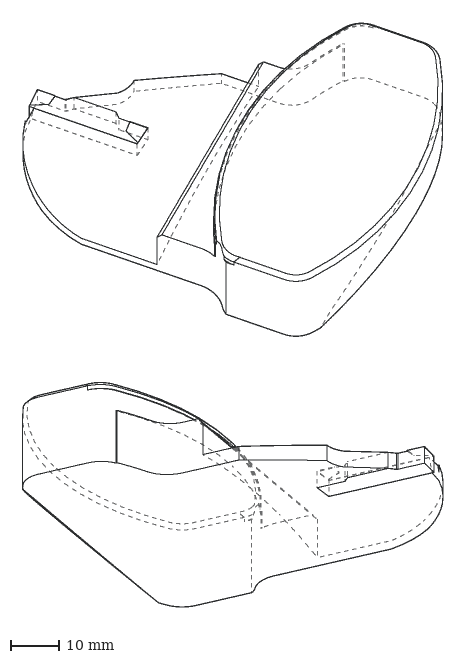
import cadquery as cq
import math

length = 85.95
height = 18.65
head_half_width = 35.0

head_front_x = 45.9
head_side_radius = 60.9
head_corner_radius = 6.0
head_top_chamfer = 0.95
back_bevel = 8.1
lip_height = 1.9
lip_inset = 0.3
lip_end_x = 60.3
relief_end_x = 58.6

block_front_x = 40.7
block_top = 12.0
block_chamfer_run = 1.1
block_chamfer_drop = 1.4
block_left_y = 21.0
block_right_y = -30.1
left_fillet_radius = 6.0
flank_ledge = 0.3
flank_end_y = 32.2
right_fillet_start_x = 50.7
right_fillet_end = (56.7, -33.0)
right_fillet_middle = (54.1, -30.85)
right_round_middle = (57.5, -34.0)

blade_crown = 5.1
blade_top_radius = 146.1
hollow_height = 1.4
hollow_radius = 230.35
blade_tip_x = 0.7
tip_slope_run = 0.7
tip_slope_end_y = -8.25
tip_corner_x = 1.0
slant_start_x = 32.3
slant_end = (17.0, 11.1)
notch_middle = (16.7, 8.6)
notch_end = (15.4, 6.4)
insert_meeting_x = 7.7
nose_arc_middle = (8.0, -21.2)
nose_arc_end_x = 23.55

insert_back_y = 0.2
insert_front_y = -4.55
insert_length = 25.0
insert_taper = 0.3
key_height = 1.3
key_base_half = 6.0
key_top_half = 4.7
pad_length = 4.0
pad_side_y = -2.4
pad_end_y = -4.2
pad_rise = 0.2

head_center_x = (head_front_x + length) / 2
side_center_offset = head_side_radius - (length - head_front_x) / 2


def side_offset(y):
    """Distance from the head's centre plane to its bowed side at a given Y."""
    return math.sqrt(head_side_radius**2 - y**2) - side_center_offset


def head_prism(prism_height):
    end = side_offset(head_half_width)
    return (
        cq.Workplane("XY")
        .moveTo(head_center_x - end, -head_half_width)
        .lineTo(head_center_x + end, -head_half_width)
        .threePointArc((length, 0), (head_center_x + end, head_half_width))
        .lineTo(head_center_x - end, head_half_width)
        .threePointArc((head_front_x, 0), (head_center_x - end, -head_half_width))
        .close()
        .extrude(prism_height)
        .edges("|Z")
        .fillet(head_corner_radius)
    )


def make_head():
    lower = head_prism(height - lip_height)
    rim = head_prism(height)
    front_half = cq.Workplane("XY").box(lip_end_x, length, height, centered=(False, True, False))
    rim_front = rim.intersect(front_half).translate((lip_inset, 0, 0))
    rim_back = rim.cut(front_half)
    rim = rim.intersect(rim_front.union(rim_back)).faces(">Z").chamfer(head_top_chamfer)
    head = lower.union(rim)
    bevel = (
        cq.Workplane("XZ")
        .moveTo(length - back_bevel, 0)
        .lineTo(length, 0)
        .lineTo(length, back_bevel)
        .close()
        .extrude(head_half_width, both=True)
    )
    return head.cut(bevel)


def make_block():
    """Step block with its rounded blend into the +Y side of the head."""
    fillet_center_y = block_left_y + left_fillet_radius
    flank_radius = head_side_radius + flank_ledge
    reach = flank_radius + left_fillet_radius
    bow_center_x = head_center_x + side_center_offset
    fillet_center_x = bow_center_x - math.sqrt(reach**2 - fillet_center_y**2)
    touch_x = bow_center_x + (fillet_center_x - bow_center_x) * flank_radius / reach
    touch_y = fillet_center_y * flank_radius / reach
    touch_angle = math.atan2(touch_y - fillet_center_y, touch_x - fillet_center_x)
    angle = (touch_angle - math.pi / 2) / 2
    middle = (
        fillet_center_x + left_fillet_radius * math.cos(angle),
        fillet_center_y + left_fillet_radius * math.sin(angle),
    )
    flank_middle_y = (touch_y + flank_end_y) / 2
    flank_middle_x = bow_center_x - math.sqrt(flank_radius**2 - flank_middle_y**2)
    flank_end_x = bow_center_x - math.sqrt(flank_radius**2 - flank_end_y**2)
    return (
        cq.Workplane("XY")
        .moveTo(block_front_x, block_right_y)
        .lineTo(block_front_x, block_left_y)
        .lineTo(fillet_center_x, block_left_y)
        .threePointArc(middle, (touch_x, touch_y))
        .threePointArc((flank_middle_x, flank_middle_y), (flank_end_x, flank_end_y))
        .lineTo(head_center_x, flank_end_y)
        .lineTo(head_center_x, -head_half_width)
        .lineTo(right_fillet_start_x, -head_half_width)
        .lineTo(right_fillet_start_x, block_right_y)
        .close()
        .extrude(block_top)
        .cut(
            cq.Workplane("XZ")
            .moveTo(block_front_x, block_top - block_chamfer_drop)
            .lineTo(block_front_x, block_top)
            .lineTo(block_front_x + block_chamfer_run, block_top)
            .close()
            .extrude(length, both=True)
        )
    )


def make_corner_post():
    """Squares off the head's front -Y corner below the rim, ready for the relief."""
    post_x, post_y = right_fillet_middle
    return (
        cq.Workplane("XY", origin=(post_x, -head_half_width, 0))
        .box(
            head_center_x - post_x,
            head_half_width + post_y,
            height - lip_height,
            centered=False,
        )
    )


def corner_relief():
    """Hollow then rounded sweep from the block's -Y side into the head's end."""
    return (
        cq.Workplane("XY")
        .moveTo(right_fillet_start_x, block_right_y)
        .threePointArc(right_fillet_middle, right_fillet_end)
        .threePointArc(right_round_middle, (relief_end_x, -head_half_width))
        .lineTo(right_fillet_start_x, -head_half_width)
        .close()
        .extrude(height)
    )


def crown_cylinder(radius, top):
    return cq.Workplane("YZ").center(0, top - radius).circle(radius).extrude(length)


def make_blade():
    blade = (
        cq.Workplane("XY")
        .moveTo(block_front_x, block_right_y)
        .lineTo(block_front_x, block_left_y)
        .lineTo(slant_start_x, block_left_y)
        .lineTo(*slant_end)
        .threePointArc(notch_middle, notch_end)
        .lineTo(insert_meeting_x, insert_back_y + key_height)
        .lineTo(blade_tip_x, insert_front_y)
        .lineTo(tip_corner_x, tip_slope_end_y)
        .threePointArc(nose_arc_middle, (nose_arc_end_x, block_right_y))
        .close()
        .extrude(blade_crown)
        .intersect(crown_cylinder(blade_top_radius, blade_crown))
    )
    lean = (
        cq.Workplane("XZ", origin=(0, insert_front_y, 0))
        .moveTo(blade_tip_x, hollow_height)
        .lineTo(blade_tip_x + tip_slope_run, blade_crown)
        .lineTo(0, blade_crown)
        .lineTo(0, hollow_height)
        .close()
        .extrude(insert_front_y - tip_slope_end_y)
    )
    return blade.cut(lean)


def insert_blank():
    key_center_x = insert_length / 2
    return (
        cq.Workplane("XY", origin=(0, 0, hollow_height))
        .moveTo(insert_taper, insert_front_y)
        .lineTo(0, insert_back_y)
        .lineTo(key_center_x - key_base_half, insert_back_y)
        .lineTo(key_center_x - key_top_half, insert_back_y + key_height)
        .lineTo(key_center_x + key_top_half, insert_back_y + key_height)
        .lineTo(key_center_x + key_base_half, insert_back_y)
        .lineTo(insert_length, insert_back_y)
        .lineTo(insert_length - insert_taper, insert_front_y)
        .close()
        .extrude(blade_crown - hollow_height)
    )


def cutting_pad():
    """Chip face at the tip, sloping down from the back of the insert to nothing."""
    outline = (
        cq.Workplane("XY", origin=(0, 0, hollow_height))
        .moveTo(0, insert_back_y)
        .lineTo(pad_length, insert_back_y)
        .lineTo(pad_length - insert_taper, pad_side_y)
        .lineTo(insert_taper, pad_end_y)
        .close()
        .extrude(blade_crown)
    )
    wedge = (
        cq.Workplane("YZ")
        .moveTo(insert_back_y, hollow_height)
        .lineTo(insert_back_y, blade_crown + pad_rise)
        .lineTo(pad_end_y, blade_crown)
        .lineTo(pad_end_y, hollow_height)
        .close()
        .extrude(pad_length)
    )
    return outline.intersect(wedge)


def make_holder():
    hollow = crown_cylinder(hollow_radius, hollow_height)
    body = make_blade().union(make_block()).union(make_head()).union(make_corner_post())
    pocket = insert_blank().translate((0, 0, -hollow_height)).union(insert_blank())
    return body.cut(corner_relief()).cut(hollow).cut(pocket)


def make_insert():
    pad = cutting_pad()
    far_pad = pad.mirror("YZ", (insert_length / 2, 0, 0))
    return insert_blank().union(pad).union(far_pad)


holder = make_holder()
insert = make_insert()
result = cq.Compound.makeCompound([holder.solids().val(), insert.solids().val()])